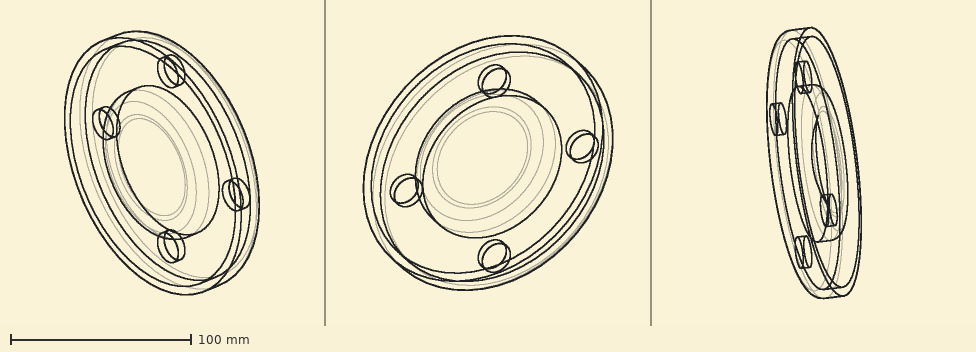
import math

import cadquery as cq

flange_radius = 75.0
flange_depth = 15.9
floor_thickness = 5.0
rim_thickness = 5.0
edge_fillet = 5.0

boss_radius = 43.5
boss_projection = 1.6
sphere_radius = 55.0
mouth_radius = 30.9
mouth_fillet = 5.0

hole_diameter = 17.5
hole_circle_radius = 55.0
hole_count = 4

boss_depth = flange_depth + boss_projection
rim_inner_radius = flange_radius - rim_thickness
arc_middle = math.sqrt(0.5)

fillet_center_y = -boss_depth + mouth_fillet
center_distance = sphere_radius + mouth_fillet
mouth_angle = math.asin(mouth_radius / center_distance)
sphere_center_y = fillet_center_y - center_distance * math.cos(mouth_angle)


def sphere_point(angle):
    """Point of the socket profile at an angle from the part axis."""
    return (
        sphere_radius * math.sin(angle),
        sphere_center_y + sphere_radius * math.cos(angle),
    )


def mouth_fillet_middle():
    """Middle of the mouth fillet arc, between the boss face and the sphere."""
    half_angle = mouth_angle / 2
    return (
        mouth_radius - mouth_fillet * math.sin(half_angle),
        fillet_center_y - mouth_fillet * math.cos(half_angle),
    )


def revolved_body():
    """Half section in X (radius) and Y (axis), revolved about the Y axis."""
    edge_center_y = -edge_fillet
    edge_center_x = flange_radius - edge_fillet
    boss_edge_x = boss_radius - edge_fillet
    boss_edge_y = -boss_depth + edge_fillet
    fillet_middle = edge_fillet * arc_middle
    return (
        cq.Workplane("XY")
        .lineTo(edge_center_x, 0)
        .threePointArc(
            (edge_center_x + fillet_middle, edge_center_y + fillet_middle),
            (flange_radius, edge_center_y),
        )
        .lineTo(flange_radius, -flange_depth)
        .lineTo(rim_inner_radius, -flange_depth)
        .lineTo(rim_inner_radius, -floor_thickness)
        .lineTo(boss_radius, -floor_thickness)
        .lineTo(boss_radius, boss_edge_y)
        .threePointArc(
            (boss_edge_x + fillet_middle, boss_edge_y - fillet_middle),
            (boss_edge_x, -boss_depth),
        )
        .lineTo(mouth_radius, -boss_depth)
        .threePointArc(mouth_fillet_middle(), sphere_point(mouth_angle))
        .threePointArc(sphere_point(mouth_angle / 2), sphere_point(0))
        .close()
        .revolve(360, (0, 0), (0, 1))
    )


def bolt_holes():
    """Through holes on a circle around the boss."""
    return (
        cq.Workplane("XZ")
        .polarArray(hole_circle_radius, 0, 360, hole_count)
        .circle(hole_diameter / 2)
        .extrude(flange_depth)
    )


result = revolved_body().cut(bolt_holes())